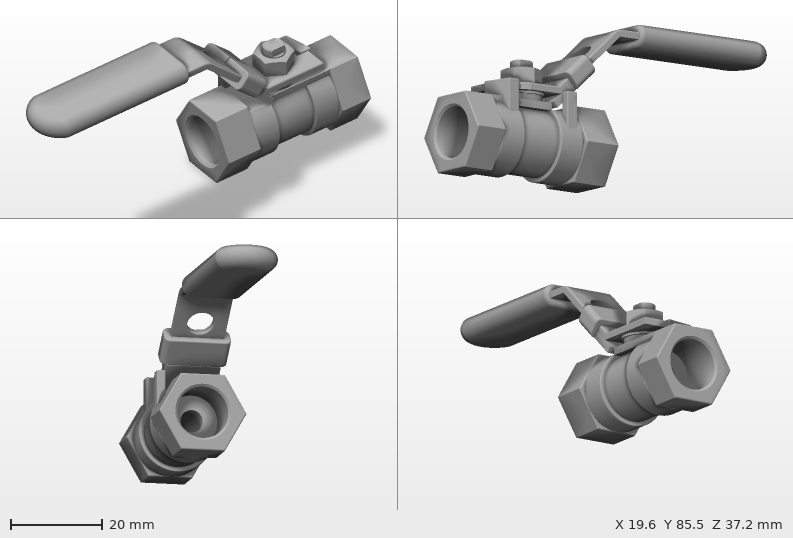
import cadquery as cq
import math


body_length = 39.0
body_back = body_length / 2
body_front = -body_length / 2
hex_flats = 17.0
hex_corner_radius = 0.16
hex_end_radius = 0.35
back_hex_length = 7.8
front_hex_length = 8.8
shoulder_diameter = hex_flats
back_shoulder_length = 6.3
front_shoulder_length = 6.2
waist_diameter = 15.0
shoulder_edge_radius = 0.3
flow_diameter = 5.0
thread_diameter = 11.45
thread_depth = 11.0
mouth_diameter = 12.5

deck_width = hex_flats * math.tan(math.pi / 6)
deck_top = hex_flats / 2
deck_thickness = 1.7

latch_floor = 6.9
latch_back = -4.6

stop_edge_radius = 0.3
front_stop_outer_x = -8.0
front_stop_thickness = 2.0
front_stop_back = -6.6
front_stop_width = 2.8
front_stop_bottom = 2.9
front_stop_top = 11.0
back_stop_left = -6.8
back_stop_right = 0.3
back_stop_front = 5.75
back_stop_thickness = 2.8
back_stop_angle = 13.0
back_stop_bottom = 5.0
back_stop_top = 12.4

neck_diameter = 9.0
neck_top = 10.0
collar_diameter = 10.0
stem_diameter = 5.0
stem_flats = 3.5
stem_top = 17.9
stem_chamfer = 0.25
nut_flats = 8.0
nut_top = 16.1
nut_chamfer_diameter = 7.1
nut_chamfer_angle = 20.0
nut_bore_chamfer = 0.35

lever_width = 12.0
lever_thickness = 1.65
lever_bottom = 10.55
lever_top = lever_bottom + lever_thickness
lever_back = 9.3
lever_notch_x = 0.3
lever_notch_radius = 6.3
lower_bend_y = -5.9
lever_angle = 42.0
lever_high_top = 26.8
upper_bend_radius = 3.5
lever_hole_diameter = 6.0
lever_hole_z = 20.7
lever_edge_radius = 0.4
lever_embedment = 5.0

sleeve_width = 15.0
sleeve_height = 4.8
sleeve_length = 6.7
sleeve_corner_radius = 1.4
sleeve_middle_z = 15.9
sleeve_edge_radius = 0.3
sleeve_slit_width = 0.3
latch_width = 12.2
latch_length = 6.7

grip_width = 14.0
grip_thickness = 5.2
grip_top = 28.7
grip_back = -28.0
grip_front = -66.0
grip_tip_length = 4.9
grip_edge_radius = 2.59
grip_back_radius = 1.0

slope = math.radians(lever_angle)
upper_bend_y = lower_bend_y - (lever_high_top - lever_top) / math.tan(slope)
lever_front = grip_back - lever_embedment
bend_shift = lever_thickness * math.tan(slope / 2)


def rod(diameter, y_start, y_end):
    """Cylinder along Y."""
    return cq.Workplane("XZ", origin=(0, y_start, 0)).circle(diameter / 2).extrude(y_start - y_end)


def post(diameter, z_start, z_end):
    """Cylinder along Z on the stem axis."""
    return cq.Workplane("XY", origin=(0, 0, z_start)).circle(diameter / 2).extrude(z_end - z_start)


def block(x_range, y_range, z_range):
    """Axis-aligned box given by its limits."""
    sizes = [high - low for low, high in (x_range, y_range, z_range)]
    corner = (x_range[0], y_range[0], z_range[0])
    return cq.Workplane("XY").box(*sizes, centered=False).translate(corner)


def hex_end(y_start, y_end):
    """Hexagonal wrench end with corners on the X axis."""
    corners = hex_flats / math.cos(math.pi / 6)
    prism = cq.Workplane("XZ", origin=(0, y_start, 0)).polygon(6, corners).extrude(y_start - y_end)
    prism = prism.edges("|Y").fillet(hex_corner_radius)
    return prism.faces("<Y or >Y").edges().fillet(hex_end_radius)


def make_body():
    """Hexagonal ends, shoulders, waist and stem deck, all solid before boring."""
    back_step = body_back - back_hex_length
    front_step = body_front + front_hex_length
    body = rod(waist_diameter, back_step, front_step)
    shoulders = (
        (back_step, back_step - back_shoulder_length),
        (front_step + front_shoulder_length, front_step),
    )
    for y_start, y_end in shoulders:
        body = body.union(rod(shoulder_diameter, y_start, y_end).edges().fillet(shoulder_edge_radius))
    body = body.union(hex_end(body_back, back_step))
    body = body.union(hex_end(front_step, body_front))
    deck = block(
        (-deck_width / 2, deck_width / 2),
        (front_step - hex_end_radius, back_step + hex_end_radius),
        (deck_top - deck_thickness, deck_top),
    )
    latch_gap = block(
        (-shoulder_diameter / 2, shoulder_diameter / 2),
        (front_step, latch_back),
        (latch_floor, deck_top),
    )
    return body.union(deck).cut(latch_gap)


def soften(stop):
    """Round the upright and top edges of a stop."""
    return stop.edges("|Z or >Z").fillet(stop_edge_radius)


def make_front_stop():
    """Upright stop beside the latch gap."""
    stop = block(
        (front_stop_outer_x, front_stop_outer_x + front_stop_thickness),
        (front_stop_back - front_stop_width, front_stop_back),
        (front_stop_bottom, front_stop_top),
    )
    return soften(stop)


def make_back_stop():
    """Slanted stop wall that fills the lever's notch."""
    skew = (back_stop_right - back_stop_left) * math.tan(math.radians(back_stop_angle))
    back = back_stop_front + back_stop_thickness
    plan = [
        (back_stop_left, back_stop_front),
        (back_stop_right, back_stop_front + skew),
        (back_stop_right, back + skew),
        (back_stop_left, back),
    ]
    stop = cq.Workplane("XY", origin=(0, 0, back_stop_bottom)).polyline(plan).close()
    return soften(stop.extrude(back_stop_top - back_stop_bottom))


def cut_bores(body):
    """Cut the flow bore, both thread bores and their chamfered mouths."""
    chamfer = (mouth_diameter - thread_diameter) / 2
    body = body.cut(rod(flow_diameter, body_back, body_front))
    for end, inward in ((body_back, -1), (body_front, 1)):
        thread = rod(thread_diameter, end, end + inward * thread_depth)
        mouth = cq.Solid.makeCone(
            mouth_diameter / 2,
            thread_diameter / 2,
            chamfer,
            cq.Vector(0, end, 0),
            cq.Vector(0, inward, 0),
        )
        body = body.cut(thread).cut(cq.Workplane(mouth))
    return body


def make_stem():
    """Neck, collar and double-flat stem."""
    stem = post(neck_diameter, deck_top - deck_thickness, neck_top)
    stem = stem.union(post(collar_diameter, neck_top, lever_bottom))
    stem = stem.union(post(stem_diameter, lever_bottom, nut_top))
    tip = post(stem_diameter, nut_top, stem_top).faces(">Z").edges().chamfer(stem_chamfer)
    flats = block(
        (-stem_flats / 2, stem_flats / 2),
        (-stem_diameter, stem_diameter),
        (nut_top, stem_top),
    )
    return stem.union(tip.intersect(flats))


def make_nut():
    """Hexagonal nut with a chamfered top and bore edge."""
    corner_radius = nut_flats / 2 / math.cos(math.pi / 6)
    nut = cq.Workplane("XY", origin=(0, 0, lever_top)).polygon(6, 2 * corner_radius)
    nut = nut.extrude(nut_top - lever_top)
    top_radius = nut_chamfer_diameter / 2
    drop = (corner_radius - top_radius) * math.tan(math.radians(nut_chamfer_angle))
    envelope = (
        cq.Workplane("XZ")
        .moveTo(0, lever_top)
        .lineTo(corner_radius, lever_top)
        .lineTo(corner_radius, nut_top - drop)
        .lineTo(top_radius, nut_top)
        .lineTo(0, nut_top)
        .close()
        .revolve(360, (0, 0, 0), (0, 1, 0))
    )
    nut = nut.intersect(envelope).cut(post(stem_diameter, lever_top, nut_top))
    bore_edge = cq.selectors.RadiusNthSelector(0)
    return nut.faces(">Z").edges(bore_edge).chamfer(nut_bore_chamfer)


def slope_y(z):
    """Y of the sloped strip's middle surface at height z."""
    surface_z = z + lever_thickness / 2 / math.cos(slope)
    return lower_bend_y - (surface_z - lever_top) / math.tan(slope)


def slope_plane(y, z):
    """Workplane square to the sloped strip: local x across it, local y down along it."""
    normal = (0, math.sin(slope), math.cos(slope))
    return cq.Workplane(cq.Plane(origin=(0, y, z), xDir=(1, 0, 0), normal=normal))


def top_outline(strip):
    """Long edges, back edge and notch arc of the strip's upper surface."""
    upper_faces = [face for face in strip.faces().vals() if face.normalAt().z > math.cos(slope) / 2]
    return cq.Workplane("XY").newObject(upper_faces).edges("(not |X) or >Y").vals()


def make_lever():
    """Twice-bent strip with a quarter notch and a padlock hole."""
    profile = [
        (lever_back, lever_top),
        (lower_bend_y, lever_top),
        (upper_bend_y, lever_high_top),
        (lever_front, lever_high_top),
        (lever_front, lever_high_top - lever_thickness),
        (upper_bend_y - bend_shift, lever_high_top - lever_thickness),
        (lower_bend_y - bend_shift, lever_bottom),
        (lever_back, lever_bottom),
    ]
    strip = cq.Workplane("YZ").polyline(profile).close().extrude(lever_width / 2, both=True)
    upper_bend = cq.selectors.NearestToPointSelector((0, upper_bend_y, lever_high_top))
    strip = strip.edges("|X").edges(upper_bend).fillet(upper_bend_radius)
    notch = block((-lever_width, lever_notch_x), (0, lever_back), (lever_bottom, lever_top))
    strip = strip.cut(notch.cut(post(2 * lever_notch_radius, lever_bottom, lever_top)))
    strip = strip.newObject(top_outline(strip)).fillet(lever_edge_radius)
    hole_y = slope_y(lever_hole_z)
    hole = slope_plane(hole_y, lever_hole_z).circle(lever_hole_diameter / 2)
    return strip.cut(hole.extrude(lever_thickness, both=True))


def make_sleeve():
    """Sleeve with a slit along its top and a latch tongue reaching down under the strip."""
    middle = slope_plane(slope_y(sleeve_middle_z), sleeve_middle_z)
    wall = (sleeve_height - lever_thickness) / 2
    wall_offset = (lever_thickness + wall) / 2
    along = cq.selectors.ParallelDirSelector(middle.plane.yDir)
    sleeve = middle.box(sleeve_width, sleeve_length, sleeve_height)
    sleeve = sleeve.edges(along).fillet(sleeve_corner_radius)
    sleeve = sleeve.faces(along).edges().fillet(sleeve_edge_radius)
    slit = middle.workplane(offset=wall_offset).box(sleeve_slit_width, sleeve_length, wall)
    latch = middle.workplane(offset=-wall_offset).center(0, (sleeve_length + latch_length) / 2)
    latch = latch.box(latch_width, latch_length, wall)
    return sleeve.cut(slit).union(latch)


def make_grip():
    """Rounded grip with an arched tip."""
    half_width = grip_width / 2
    tip_start = grip_front + grip_tip_length
    grip = (
        cq.Workplane("XY", origin=(0, 0, grip_top - grip_thickness))
        .moveTo(half_width, grip_back)
        .lineTo(half_width, tip_start)
        .threePointArc((0, grip_front), (-half_width, tip_start))
        .lineTo(-half_width, grip_back)
        .close()
        .extrude(grip_thickness)
    )
    grip = grip.faces("<Z or >Z").edges("not >Y").fillet(grip_edge_radius)
    return grip.faces(">Y").edges().fillet(grip_back_radius)


result = cut_bores(make_body().union(make_front_stop()).union(make_back_stop()))
for component in (make_stem(), make_nut(), make_lever(), make_sleeve(), make_grip()):
    result = result.union(component)